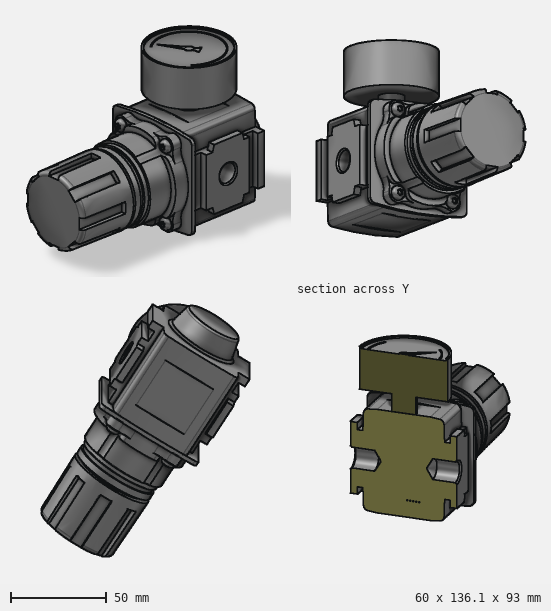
import cadquery as cq
import math


CAP_END_Y = 38.5
BODY_BACK_Y = 26.0
FLANGE_BACK_Y = -24.0
FLANGE_FRONT_Y = -26.4
LUG_FRONT_Y = -32.3
COLLAR_FRONT_Y = -35.5
BARREL_END_Y = -50.3
RING_1_END_Y = -53.2
GROOVE_END_Y = -55.9
RING_2_END_Y = -59.7
NECK_END_Y = -61.5
GRIP_START_Y = -67.1
OVERALL_LENGTH = 136.1
KNOB_END_Y = CAP_END_Y - OVERALL_LENGTH

BODY_HALF_WIDTH = 23.7
BODY_TOP_HALF_WIDTH = 22.7
BODY_CORNER_Z = 28.5
BODY_FILLET = 3.0
FLANGE_WIDTH = 60.0
FLANGE_HALF_WIDTH = FLANGE_WIDTH / 2
FLANGE_CORNER_Z = 27.6
FLANGE_FILLET = 3.0
BODY_HEIGHT = 59.7
CROWN_Z = BODY_HEIGHT / 2
PAD_Z = 29.3
PAD_LENGTH = 28.8

PLATE_HALF_HEIGHT = 16.2
PLATE_FLOOR_X = 26.0
TAB_HALF_HEIGHT = 20.3
TAB_ROOT_HALF_LENGTH = 11.3
TAB_TIP_HALF_LENGTH = 10.2
REAR_SLOT = (15.2, 21.4)
FRONT_SLOT = (FLANGE_BACK_Y, -15.9)
PORT_DIAMETER = 11.4
PORT_MOUTH_DIAMETER = 13.2
PORT_DEPTH = 13.6
DRILL_TIP_ANGLE = 118

CAP_FOOT_RADIUS = 20.1
CAP_BASE_RADIUS = 18.5
CAP_TOP_RADIUS = 16.2
CAP_FACE_RADIUS = 15.2
CAP_FOOT_HEIGHT = 1.2
CAP_EDGE_HEIGHT = 1.4

COLLAR_DIAMETER = 54.8
BARREL_DIAMETER = 47.9
RING_DIAMETER = 45.0
GROOVE_DIAMETER = 42.6
NECK_DIAMETER = 37.4

SCREW_X = 17.0
SCREW_Z = 22.6
LUG_RADIUS = 5.0
LUG_BLEND_RADIUS = 10.9
RECESS_EDGE_RADIUS = 4.1
HEAD_DIAMETER = 7.8
HEAD_FACE_DIAMETER = 4.0
HEAD_RIM_HEIGHT = 0.7
HEAD_HEIGHT = 3.0
SOCKET_DIAMETER = 3.3
SOCKET_DEPTH = 1.4
SOCKET_SIDES = 6
SOCKET_TURN = 30

KNOB_DIAMETER = 45.7
KNOB_END_DIAMETER = 44.5
KNOB_FILLET = 2.5
GRIP_COUNT = 8
GRIP_WIDTH = 7.0
GRIP_FLOOR_RADIUS = 19.6

OVERALL_HEIGHT = 93.0
GAUGE_TOP_Z = OVERALL_HEIGHT - CROWN_Z
GAUGE_BOTTOM_Z = 38.9
GAUGE_DIAMETER = 50.0
STEM_DIAMETER = 14.0
DIAL_DIAMETER = 47.5
DIAL_DEPTH = 1.0
MARK_HEIGHT = 0.3
SCALE_RADIUS = 20.3
SCALE_WIDTH = 0.5
SCALE_GAP_ANGLE = 100
NEEDLE_ANGLE = 211
NEEDLE_LENGTH = 17.3
POINT_ROOT = 1.8
POINT_HALF_WIDTH = 1.5
HUB_RADIUS = 2.6
TAIL_LENGTH = 6.1
TAIL_HALF_WIDTH = 2.7


def across(y):
    """Plane at y whose local axes are X and Z and whose extrusions run toward -Y."""
    return cq.Workplane("XZ", origin=(0, y, 0))


def disc(diameter, y_start, y_end):
    """Round step of the bonnet from y_start forward to y_end."""
    return across(y_start).circle(diameter / 2).extrude(y_start - y_end)


def box_between(x_range, y_range, z_range):
    """Box given by its limits along each axis."""
    sizes = [high - low for low, high in (x_range, y_range, z_range)]
    corner = (x_range[0], y_range[0], z_range[0])
    return cq.Workplane("XY").box(*sizes, centered=False).translate(corner)


def both_sides(shape):
    """The shape and its mirror image across the YZ plane."""
    return shape.union(shape.mirror("YZ"))


def crowned_block(y_start, y_end, half_width, top_half_width, corner_z, fillet):
    """Block with drafted sides and gently arched top and bottom."""
    block = (
        across(y_start)
        .moveTo(half_width, 0)
        .lineTo(top_half_width, corner_z)
        .threePointArc((0, CROWN_Z), (-top_half_width, corner_z))
        .lineTo(-half_width, 0)
        .lineTo(-top_half_width, -corner_z)
        .threePointArc((0, -CROWN_Z), (top_half_width, -corner_z))
        .close()
        .extrude(y_start - y_end)
    )
    return block.edges("|Y").edges(">Z or <Z").fillet(fillet)


def body_block():
    """Main block with a flat pad on its top and on its bottom."""
    block = crowned_block(
        BODY_BACK_Y, FLANGE_BACK_Y, BODY_HALF_WIDTH, BODY_TOP_HALF_WIDTH, BODY_CORNER_Z, BODY_FILLET
    )
    x_range = (-BODY_HALF_WIDTH, BODY_HALF_WIDTH)
    y_range = (-PAD_LENGTH / 2, PAD_LENGTH / 2)
    top_cut = box_between(x_range, y_range, (PAD_Z, CROWN_Z))
    return block.cut(top_cut).cut(top_cut.mirror("XY"))


def flange():
    return crowned_block(
        FLANGE_BACK_Y, FLANGE_FRONT_Y, FLANGE_HALF_WIDTH, FLANGE_HALF_WIDTH, FLANGE_CORNER_Z, FLANGE_FILLET
    )


def side_plate():
    """Mounting plate on the +X side, with two vertical slots and a wider tab around the port."""
    height = (-PLATE_HALF_HEIGHT, PLATE_HALF_HEIGHT)
    plate = box_between((0, FLANGE_HALF_WIDTH), (FLANGE_BACK_Y, BODY_BACK_Y), height)
    for slot in (REAR_SLOT, FRONT_SLOT):
        plate = plate.cut(box_between((PLATE_FLOOR_X, FLANGE_HALF_WIDTH), slot, height))
    upper_tab = (
        cq.Workplane("YZ", origin=(PLATE_FLOOR_X, 0, 0))
        .moveTo(-TAB_ROOT_HALF_LENGTH, 0)
        .lineTo(-TAB_ROOT_HALF_LENGTH, PLATE_HALF_HEIGHT)
        .lineTo(-TAB_TIP_HALF_LENGTH, TAB_HALF_HEIGHT)
        .lineTo(TAB_TIP_HALF_LENGTH, TAB_HALF_HEIGHT)
        .lineTo(TAB_ROOT_HALF_LENGTH, PLATE_HALF_HEIGHT)
        .lineTo(TAB_ROOT_HALF_LENGTH, 0)
        .close()
        .extrude(FLANGE_HALF_WIDTH - PLATE_FLOOR_X)
    )
    return plate.union(upper_tab).union(upper_tab.mirror("XY"))


def port():
    """Drilled port entering from the +X side, with a chamfered mouth and a conical end."""
    radius = PORT_DIAMETER / 2
    mouth_radius = PORT_MOUTH_DIAMETER / 2
    floor_x = FLANGE_HALF_WIDTH - PORT_DEPTH
    tip_length = radius / math.tan(math.radians(DRILL_TIP_ANGLE / 2))
    return (
        cq.Workplane("XY")
        .moveTo(floor_x - tip_length, 0)
        .lineTo(floor_x, radius)
        .lineTo(FLANGE_HALF_WIDTH - (mouth_radius - radius), radius)
        .lineTo(FLANGE_HALF_WIDTH, mouth_radius)
        .lineTo(FLANGE_HALF_WIDTH, 0)
        .close()
        .revolve(360, (0, 0, 0), (1, 0, 0))
    )


def rear_cap():
    """Tapered cap with a flared foot and a rounded outer edge."""
    foot_y = BODY_BACK_Y + CAP_FOOT_HEIGHT
    edge_y = CAP_END_Y - CAP_EDGE_HEIGHT
    return (
        cq.Workplane("XY")
        .moveTo(0, BODY_BACK_Y)
        .lineTo(CAP_FOOT_RADIUS, BODY_BACK_Y)
        .lineTo(CAP_BASE_RADIUS, foot_y)
        .lineTo(CAP_TOP_RADIUS, edge_y)
        .tangentArcPoint((CAP_FACE_RADIUS, CAP_END_Y), relative=False)
        .lineTo(0, CAP_END_Y)
        .close()
        .revolve(360, (0, 0, 0), (0, 1, 0))
    )


def point_from(origin, distance, angle):
    """Point at a distance and angle (radians) from an origin."""
    return (origin[0] + distance * math.cos(angle), origin[1] + distance * math.sin(angle))


def direction(start, end):
    """Angle (radians) of the line from start to end."""
    return math.atan2(end[1] - start[1], end[0] - start[0])


def blend_arc(radius, axis_distance, side):
    """Arc tangent to the lug circle and to the collar circle, on one side (+1 or -1) of the lug.

    Its centre lies axis_distance from the control axis. Gives the tangent point on the lug
    circle, the arc's middle point and the tangent point on the collar circle.
    """
    axis = (0, 0)
    screw = (SCREW_X, SCREW_Z)
    screw_distance = math.hypot(*screw)
    offset_cosine = (axis_distance**2 + screw_distance**2 - (LUG_RADIUS + radius) ** 2) / (
        2 * axis_distance * screw_distance
    )
    center = point_from(axis, axis_distance, direction(axis, screw) + side * math.acos(offset_cosine))
    lug_point = point_from(screw, LUG_RADIUS, direction(screw, center))
    collar_point = point_from(axis, COLLAR_DIAMETER / 2, direction(axis, center))
    chord_middle = ((lug_point[0] + collar_point[0]) / 2, (lug_point[1] + collar_point[1]) / 2)
    middle = point_from(center, radius, direction(center, chord_middle))
    return lug_point, middle, collar_point


def lug_outline(y, radius, axis_distance, lug_circle_point, closing_point):
    """Outline around the +X +Z screw: the lug circle, a blend arc on each side and a closing corner."""
    left_lug, left_middle, left_collar = blend_arc(radius, axis_distance, 1)
    right_lug, right_middle, right_collar = blend_arc(radius, axis_distance, -1)
    return (
        across(y)
        .moveTo(*left_collar)
        .threePointArc(left_middle, left_lug)
        .threePointArc(lug_circle_point, right_lug)
        .threePointArc(right_middle, right_collar)
        .lineTo(*closing_point)
        .close()
    )


def lug():
    """Screw lug in the +X +Z corner, blended into the collar by a hollow arc on each side."""
    outward = direction((0, 0), (SCREW_X, SCREW_Z))
    outer_point = point_from((SCREW_X, SCREW_Z), LUG_RADIUS, outward)
    axis_distance = COLLAR_DIAMETER / 2 + LUG_BLEND_RADIUS
    outline = lug_outline(FLANGE_FRONT_Y, LUG_BLEND_RADIUS, axis_distance, outer_point, (0, 0))
    return outline.extrude(FLANGE_FRONT_Y - LUG_FRONT_Y)


def screw_recess():
    """Clearance around the +X +Z screw: a groove along the barrel and a round-edged gap in the collar."""
    groove = (
        across(LUG_FRONT_Y).center(SCREW_X, SCREW_Z).circle(LUG_RADIUS).extrude(LUG_FRONT_Y - BARREL_END_Y)
    )
    outward = direction((0, 0), (SCREW_X, SCREW_Z))
    inner_point = point_from((SCREW_X, SCREW_Z), -LUG_RADIUS, outward)
    beyond_collar = point_from((0, 0), COLLAR_DIAMETER, outward)
    axis_distance = COLLAR_DIAMETER / 2 - RECESS_EDGE_RADIUS
    outline = lug_outline(LUG_FRONT_Y, RECESS_EDGE_RADIUS, axis_distance, inner_point, beyond_collar)
    return groove.union(outline.extrude(LUG_FRONT_Y - COLLAR_FRONT_Y))


def screw_head():
    """Domed head of the +X +Z screw with a hexagonal socket."""
    rim_y = LUG_FRONT_Y - HEAD_RIM_HEIGHT
    face_y = LUG_FRONT_Y - HEAD_HEIGHT
    head = (
        cq.Workplane("XY")
        .moveTo(0, LUG_FRONT_Y)
        .lineTo(HEAD_DIAMETER / 2, LUG_FRONT_Y)
        .lineTo(HEAD_DIAMETER / 2, rim_y)
        .tangentArcPoint((HEAD_FACE_DIAMETER / 2, face_y), relative=False)
        .lineTo(0, face_y)
        .close()
        .revolve(360, (0, 0, 0), (0, 1, 0))
    )
    socket = (
        across(face_y)
        .transformed(rotate=(0, 0, SOCKET_TURN))
        .polygon(SOCKET_SIDES, SOCKET_DIAMETER)
        .extrude(-SOCKET_DEPTH)
    )
    return head.cut(socket).translate((SCREW_X, 0, SCREW_Z))


def at_four_corners(shape):
    """The +X +Z shape repeated in all four corners by mirroring."""
    right_pair = shape.union(shape.mirror("XY"))
    return both_sides(right_pair)


def bonnet():
    """Stepped round bonnet, its screw lugs and screws, ending in the neck that carries the knob."""
    collar = disc(COLLAR_DIAMETER, FLANGE_FRONT_Y, COLLAR_FRONT_Y)
    barrel = disc(BARREL_DIAMETER, FLANGE_FRONT_Y, BARREL_END_Y)
    base = collar.union(barrel).cut(at_four_corners(screw_recess()))
    base = base.union(at_four_corners(lug()))
    base = base.union(at_four_corners(screw_head()))
    steps = (
        (RING_DIAMETER, BARREL_END_Y, RING_1_END_Y),
        (GROOVE_DIAMETER, RING_1_END_Y, GROOVE_END_Y),
        (RING_DIAMETER, GROOVE_END_Y, RING_2_END_Y),
        (NECK_DIAMETER, RING_2_END_Y, NECK_END_Y),
    )
    for diameter, y_start, y_end in steps:
        base = base.union(disc(diameter, y_start, y_end))
    return base


def make_housing():
    housing = body_block().union(flange())
    housing = housing.union(both_sides(side_plate()))
    housing = housing.union(rear_cap())
    housing = housing.union(bonnet())
    return housing.cut(both_sides(port()))


def make_knob():
    """Slightly tapered knob with a rounded end and flat grip grooves."""
    knob = (
        cq.Workplane("XY")
        .moveTo(0, NECK_END_Y)
        .lineTo(KNOB_DIAMETER / 2, NECK_END_Y)
        .lineTo(KNOB_END_DIAMETER / 2, KNOB_END_Y)
        .lineTo(0, KNOB_END_Y)
        .close()
        .revolve(360, (0, 0, 0), (0, 1, 0))
        .faces("<Y")
        .edges()
        .fillet(KNOB_FILLET)
    )
    groove = box_between(
        (-GRIP_WIDTH / 2, GRIP_WIDTH / 2),
        (KNOB_END_Y, GRIP_START_Y),
        (GRIP_FLOOR_RADIUS, KNOB_DIAMETER),
    )
    for index in range(GRIP_COUNT):
        angle = 360 * index / GRIP_COUNT
        knob = knob.cut(groove.rotate((0, 0, 0), (0, 1, 0), angle))
    return knob


def gauge_scale(dial_z):
    """Raised arc around the dial, open toward -Y."""
    ring = (
        cq.Workplane("XY", origin=(0, 0, dial_z))
        .circle(SCALE_RADIUS)
        .circle(SCALE_RADIUS - SCALE_WIDTH)
        .extrude(MARK_HEIGHT)
    )
    gap_half_width = SCALE_RADIUS * math.tan(math.radians(SCALE_GAP_ANGLE / 2))
    gap = (
        cq.Workplane("XY", origin=(0, 0, dial_z))
        .polyline([(0, 0), (gap_half_width, -SCALE_RADIUS), (-gap_half_width, -SCALE_RADIUS)])
        .close()
        .extrude(MARK_HEIGHT)
    )
    return ring.cut(gap)


def gauge_needle(dial_z):
    """Raised needle with a round hub, a long point and a triangular tail."""
    plane = cq.Workplane("XY", origin=(0, 0, dial_z))
    point = (
        plane.polyline([(NEEDLE_LENGTH, 0), (POINT_ROOT, POINT_HALF_WIDTH), (POINT_ROOT, -POINT_HALF_WIDTH)])
        .close()
        .extrude(MARK_HEIGHT)
    )
    tail = (
        plane.polyline([(0, 0), (-TAIL_LENGTH, TAIL_HALF_WIDTH), (-TAIL_LENGTH, -TAIL_HALF_WIDTH)])
        .close()
        .extrude(MARK_HEIGHT)
    )
    hub = plane.circle(HUB_RADIUS).extrude(MARK_HEIGHT)
    return point.union(tail).union(hub).rotate((0, 0, 0), (0, 0, 1), NEEDLE_ANGLE)


def make_gauge():
    """Round gauge standing on the top pad by its stem."""
    stem_length = GAUGE_BOTTOM_Z - PAD_Z
    stem = cq.Workplane("XY", origin=(0, 0, PAD_Z)).circle(STEM_DIAMETER / 2).extrude(stem_length)
    case = (
        cq.Workplane("XY", origin=(0, 0, GAUGE_BOTTOM_Z))
        .circle(GAUGE_DIAMETER / 2)
        .extrude(GAUGE_TOP_Z - GAUGE_BOTTOM_Z)
        .faces(">Z")
        .workplane()
        .hole(DIAL_DIAMETER, DIAL_DEPTH)
    )
    dial_z = GAUGE_TOP_Z - DIAL_DEPTH
    return stem.union(case).union(gauge_scale(dial_z)).union(gauge_needle(dial_z))


housing = make_housing()
knob = make_knob()
gauge = make_gauge()

result = cq.Compound.makeCompound([housing.val(), knob.val(), gauge.val()])